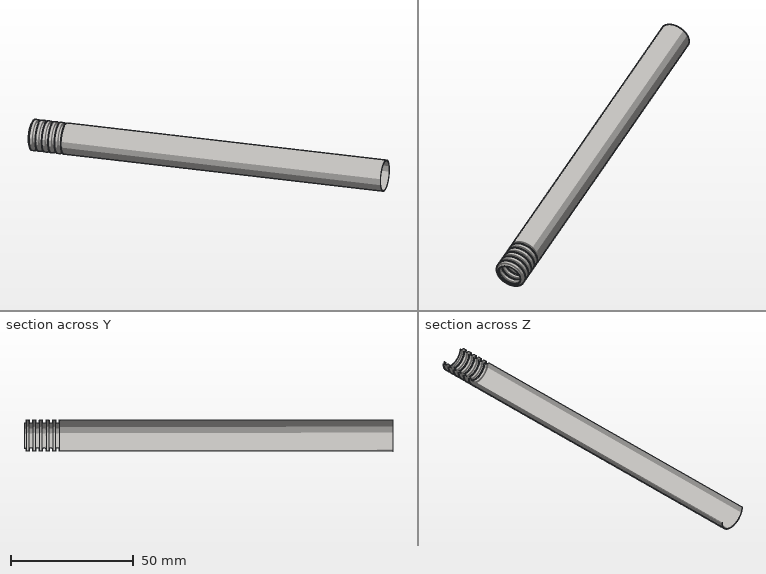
import cadquery as cq

length = 150.0
outer_diameter = 12.9
wall = 0.3

root_diameter = 10.4
ring_count = 5
ring_pitch = 2.7
ring_width = 1.6
outer_round = 0.22
inner_round = 0.2

left_end = -length / 2
right_end = length / 2
outer_radius = outer_diameter / 2
root_radius = root_diameter / 2

groove_width = ring_pitch - ring_width
first_ring = left_end + groove_width / 2
body_start = first_ring + ring_count * ring_pitch


def revolved_wave(low_radius, high_radius, inset, corner_round):
    """Solid of revolution about X with square rings whose side walls are moved inward by inset."""
    profile = [(left_end, 0), (left_end, low_radius)]
    for index in range(ring_count):
        ring_left = first_ring + index * ring_pitch + inset
        ring_right = ring_left + ring_width - 2 * inset
        profile += [
            (ring_left, low_radius),
            (ring_left, high_radius),
            (ring_right, high_radius),
            (ring_right, low_radius),
        ]
    body_left = body_start + inset
    profile += [
        (body_left, low_radius),
        (body_left, high_radius),
        (right_end, high_radius),
        (right_end, 0),
    ]
    solid = cq.Workplane("XY").polyline(profile).close().revolve(360, (0, 0, 0), (1, 0, 0))

    margin = groove_width / 4
    corners = [
        edge
        for edge in solid.edges("%CIRCLE").vals()
        if left_end + margin < edge.Center().x < right_end - margin
    ]
    return solid.newObject(corners).fillet(corner_round)


outside = revolved_wave(root_radius, outer_radius, 0, outer_round)
cavity = revolved_wave(root_radius - wall, outer_radius - wall, wall, inner_round)
result = outside.cut(cavity)